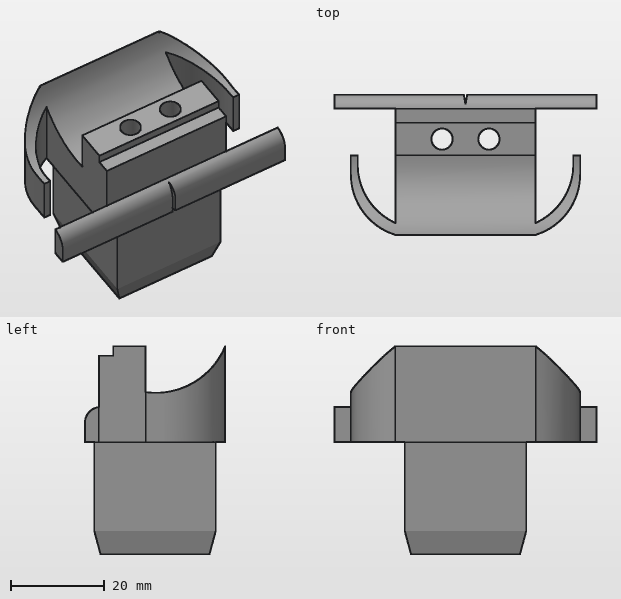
import cadquery as cq
import math

front_y = -15.0
block_width = 30.0
block_front_y = front_y + 17.0
block_back_y = front_y + 27.0
head_height = 20.5
step_depth = 3.0
step_height = 2.0

saddle_floor_z = 10.5
scoop_radius = 16.0

wing_half_span = 24.5
wing_tip_thickness = 1.5
wing_outer_start_y = front_y + 13.0
wing_inner_start_y = front_y + 15.0

plate_length = 56
plate_back_y = -front_y
plate_height = 7.5
plate_round_start_z = 4.05
notch_width = 0.7
notch_depth = 2.0

neck_side = 26.0
neck_height = 19.05
tip_height = 5.0
tip_taper_angle = 15

hole_diameter = 4.5
hole_spacing = 10.0
hole_y = block_front_y + 3.5

half_block = block_width / 2
plate_thickness = plate_back_y - block_back_y
plate_round_rise = plate_height - plate_round_start_z
plate_round_radius = (plate_thickness**2 + plate_round_rise**2) / (2 * plate_thickness)


def extrude_along_x(profile, length):
    """Extrude a YZ profile symmetrically about X = 0."""
    return profile.extrude(length / 2, both=True)


def middle_of_arc(start, end, center, radius):
    """Point on the circle halfway between the two arc ends."""
    dx = (start[0] + end[0]) / 2 - center[0]
    dy = (start[1] + end[1]) / 2 - center[1]
    scale = radius / math.hypot(dx, dy)
    return (center[0] + dx * scale, center[1] + dy * scale)


def make_scoop():
    """Round-bottomed space between the front wall and the block."""
    axis_z = saddle_floor_z + scoop_radius
    rise_left = axis_z - head_height
    axis_y = front_y + math.sqrt(scoop_radius**2 - rise_left**2)
    start = (front_y, head_height)
    lowest = (axis_y, saddle_floor_z)
    end = (block_front_y, axis_z - math.sqrt(scoop_radius**2 - (block_front_y - axis_y)**2))
    profile = (
        cq.Workplane("YZ")
        .moveTo(*start)
        .threePointArc(lowest, end)
        .lineTo(block_front_y, head_height)
        .close()
    )
    return extrude_along_x(profile, plate_length)


def make_wing():
    """Right-hand wing, full height, before the scoop is cut."""
    outer_x = wing_half_span
    inner_x = outer_x - wing_tip_thickness
    reach = outer_x - half_block
    drop = wing_outer_start_y - front_y
    radius = (reach**2 + drop**2) / (2 * reach)

    outer_start = (outer_x, wing_outer_start_y)
    outer_end = (half_block, front_y)
    outer_center = (outer_x - radius, wing_outer_start_y)
    inner_start = (inner_x, wing_inner_start_y)
    inner_center = (inner_x - radius, wing_inner_start_y)
    inner_drop = math.sqrt(radius**2 - (half_block - inner_center[0])**2)
    inner_end = (half_block, wing_inner_start_y - inner_drop)
    return (
        cq.Workplane("XY")
        .moveTo(outer_x, block_front_y)
        .lineTo(*outer_start)
        .threePointArc(middle_of_arc(outer_start, outer_end, outer_center, radius), outer_end)
        .lineTo(*inner_end)
        .threePointArc(middle_of_arc(inner_end, inner_start, inner_center, radius), inner_start)
        .lineTo(inner_x, block_front_y)
        .close()
        .extrude(head_height)
    )


def make_head():
    """Block with its back step, front wall, wings and scooped saddle."""
    profile = (
        cq.Workplane("YZ")
        .moveTo(front_y, 0)
        .lineTo(block_back_y, 0)
        .lineTo(block_back_y, head_height - step_height)
        .lineTo(block_back_y - step_depth, head_height - step_height)
        .lineTo(block_back_y - step_depth, head_height)
        .lineTo(front_y, head_height)
        .close()
    )
    wing = make_wing()
    head = extrude_along_x(profile, block_width).union(wing).union(wing.mirror("YZ"))
    return head.cut(make_scoop())


def make_plate():
    """Back plate with a rounded upper edge and a central V notch."""
    profile = (
        cq.Workplane("YZ")
        .moveTo(block_back_y, 0)
        .lineTo(plate_back_y, 0)
        .lineTo(plate_back_y, plate_round_start_z)
        .radiusArc((block_back_y, plate_height), -plate_round_radius)
        .close()
    )
    notch = (
        cq.Workplane("XY")
        .moveTo(-notch_width / 2, plate_back_y)
        .lineTo(0, plate_back_y - notch_depth)
        .lineTo(notch_width / 2, plate_back_y)
        .close()
        .extrude(plate_height)
    )
    return extrude_along_x(profile, plate_length).cut(notch)


def make_neck():
    """Square neck ending in a tapered tip."""
    neck = cq.Workplane("XY").rect(neck_side, neck_side).extrude(-neck_height)
    tip = (
        cq.Workplane("XY")
        .workplane(offset=-neck_height)
        .rect(neck_side, neck_side)
        .extrude(-tip_height, taper=tip_taper_angle)
    )
    return neck.union(tip)


def make_holes():
    """Two vertical holes through the whole part."""
    return (
        cq.Workplane("XY")
        .workplane(offset=-neck_height - tip_height)
        .pushPoints([(-hole_spacing / 2, hole_y), (hole_spacing / 2, hole_y)])
        .circle(hole_diameter / 2)
        .extrude(neck_height + tip_height + head_height)
    )


result = make_head().union(make_plate()).union(make_neck()).cut(make_holes())